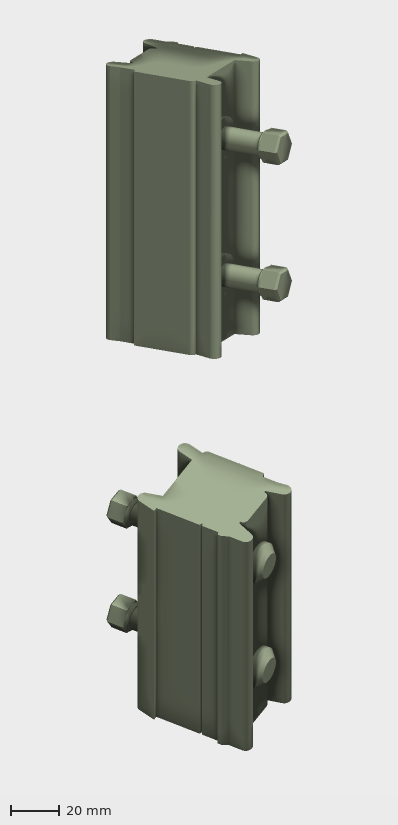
import cadquery as cq
import math

LENGTH = 120.0
WIDTH = 54.0
HALF_DEPTH = 20.0
LEFT_FACE_X = 7.0
RIGHT_FACE_X = 45.0

LOBE_RADIUS = 3.0
LOBE_Y = HALF_DEPTH - LOBE_RADIUS
RIGHT_LOBE_X = WIDTH - LOBE_RADIUS
LEFT_LOBE_X = LOBE_RADIUS
FRONT_LEFT_LOBE_Y = -15.6
RIGHT_ARM_ANGLE = 14.35
BACK_LEFT_ARM_ANGLE = 23.0
FRONT_LEFT_ARM_ANGLE = 13.5

NOTCH_X = 9.5
NOTCH_INNER_Y = 10.1
NOTCH_OUTER_Y = 11.0
FACE_EDGE_RADIUS = 2.3

LIP_X = 43.75
RIDGE_START_X = 9.2
RIDGE_TOP_START_X = 12.0
RIDGE_TOP_END_X = 13.8
RIDGE_END_X = 14.3
RIDGE_HEIGHT = 1.4
GROOVE_X = 22.6
GROOVE_WIDTH = 1.2
GROOVE_DEPTH = 1.6

PAD_START_X = 15.0
PAD_STEP_START_X = 14.6
PAD_END_X = 43.1
PAD_EDGE_RADIUS = 2.0
LEDGE_Y = -18.0
LEDGE_START_X = 7.6

BOLT_SPACING = 60.0
SHANK_DIAMETER = 10.0
COLLAR_DIAMETER = 18.0
COLLAR_THICKNESS = 2.0
BUTTON_TIP_X = 1.3
BUTTON_RIM_X = 4.5
BUTTON_TIP_DIAMETER = 11.2
HEAD_START_X = 66.8
HEAD_END_X = 74.98
HEAD_ACROSS_FLATS = 13.0
HEAD_CHAMFER = 0.8
HEAD_FACE_START_X = 65.2
HEAD_FACE_DIAMETER = 12.8
HEAD_FACE_CHAMFER = 0.8


def lobe_point(center_x, center_y, angle):
    """Point of a lobe's rim at an angle in degrees from +X."""
    turn = math.radians(angle)
    return (center_x + LOBE_RADIUS * math.cos(turn), center_y + LOBE_RADIUS * math.sin(turn))


def along(point, x, angle):
    """Point at x on the line through a point, sloping at an angle in degrees."""
    return (x, point[1] + (x - point[0]) * math.tan(math.radians(angle)))


def make_body():
    back_left_under = lobe_point(LEFT_LOBE_X, LOBE_Y, 270 - BACK_LEFT_ARM_ANGLE)
    front_left_over = lobe_point(LEFT_LOBE_X, FRONT_LEFT_LOBE_Y, 90 + FRONT_LEFT_ARM_ANGLE)
    front_right_under = lobe_point(RIGHT_LOBE_X, -LOBE_Y, 270 - RIGHT_ARM_ANGLE)
    front_right_over = lobe_point(RIGHT_LOBE_X, -LOBE_Y, 90 - RIGHT_ARM_ANGLE)
    back_right_under = lobe_point(RIGHT_LOBE_X, LOBE_Y, 270 + RIGHT_ARM_ANGLE)
    back_right_over = lobe_point(RIGHT_LOBE_X, LOBE_Y, 90 - RIGHT_ARM_ANGLE)

    face_edge_y = NOTCH_INNER_Y - FACE_EDGE_RADIUS
    face_edge_x = LEFT_FACE_X + FACE_EDGE_RADIUS
    diagonal = FACE_EDGE_RADIUS * math.sqrt(0.5)
    edge_mid_x = face_edge_x - diagonal
    edge_mid_y = face_edge_y + diagonal
    front_notch_start = along(front_left_over, face_edge_x, FRONT_LEFT_ARM_ANGLE)
    front_notch_mid_y = (front_notch_start[1] - NOTCH_INNER_Y) / 2
    pad_edge_x = PAD_END_X - PAD_EDGE_RADIUS
    pad_edge_y = -HALF_DEPTH + PAD_EDGE_RADIUS
    pad_diagonal = PAD_EDGE_RADIUS * math.sqrt(0.5)
    ridge_y = HALF_DEPTH + RIDGE_HEIGHT

    outline = (
        cq.Workplane("XY")
        .moveTo(LEFT_LOBE_X, HALF_DEPTH)
        .lineTo(RIDGE_START_X, HALF_DEPTH)
        .lineTo(RIDGE_TOP_START_X, ridge_y)
        .lineTo(RIDGE_TOP_END_X, ridge_y)
        .lineTo(RIDGE_END_X, HALF_DEPTH)
        .lineTo(GROOVE_X - GROOVE_WIDTH / 2, HALF_DEPTH)
        .lineTo(GROOVE_X, HALF_DEPTH - GROOVE_DEPTH)
        .lineTo(GROOVE_X + GROOVE_WIDTH / 2, HALF_DEPTH)
        .lineTo(LIP_X, HALF_DEPTH)
        .lineTo(*along(back_right_over, LIP_X, -RIGHT_ARM_ANGLE))
        .lineTo(*back_right_over)
        .threePointArc((WIDTH, LOBE_Y), back_right_under)
        .lineTo(*along(back_right_under, RIGHT_FACE_X, RIGHT_ARM_ANGLE))
        .lineTo(*along(front_right_over, RIGHT_FACE_X, -RIGHT_ARM_ANGLE))
        .lineTo(*front_right_over)
        .threePointArc((WIDTH, -LOBE_Y), front_right_under)
        .lineTo(*along(front_right_under, PAD_END_X, -RIGHT_ARM_ANGLE))
        .lineTo(PAD_END_X, pad_edge_y)
        .threePointArc(
            (pad_edge_x + pad_diagonal, pad_edge_y - pad_diagonal),
            (pad_edge_x, -HALF_DEPTH),
        )
        .lineTo(PAD_START_X, -HALF_DEPTH)
        .lineTo(PAD_STEP_START_X, LEDGE_Y)
        .lineTo(LEDGE_START_X, LEDGE_Y)
        .lineTo(LEFT_LOBE_X, FRONT_LEFT_LOBE_Y - LOBE_RADIUS)
        .threePointArc((0, FRONT_LEFT_LOBE_Y), front_left_over)
        .lineTo(*front_notch_start)
        .threePointArc((NOTCH_X, front_notch_mid_y), (face_edge_x, -NOTCH_INNER_Y))
        .threePointArc((edge_mid_x, -edge_mid_y), (LEFT_FACE_X, -face_edge_y))
        .lineTo(LEFT_FACE_X, face_edge_y)
        .threePointArc((edge_mid_x, edge_mid_y), (face_edge_x, NOTCH_INNER_Y))
        .lineTo(NOTCH_X, NOTCH_INNER_Y)
        .lineTo(NOTCH_X, NOTCH_OUTER_Y)
        .lineTo(*back_left_under)
        .threePointArc((0, LOBE_Y), (LEFT_LOBE_X, HALF_DEPTH))
        .close()
    )
    return outline.extrude(LENGTH)


def disc(start_x, end_x, diameter, z):
    """Cylinder along X, centred on a bolt axis."""
    plane = cq.Plane(origin=(start_x, 0, z), xDir=(0, 1, 0), normal=(1, 0, 0))
    return cq.Workplane(plane).circle(diameter / 2).extrude(end_x - start_x)


def make_button(z):
    """Conical bolt end, sunk into the body as far as the rounded edges of the left face."""
    profile = (
        cq.Workplane("XY")
        .moveTo(BUTTON_TIP_X, 0)
        .lineTo(BUTTON_TIP_X, BUTTON_TIP_DIAMETER / 2)
        .lineTo(BUTTON_RIM_X, COLLAR_DIAMETER / 2)
        .lineTo(LEFT_FACE_X + FACE_EDGE_RADIUS, COLLAR_DIAMETER / 2)
        .lineTo(LEFT_FACE_X + FACE_EDGE_RADIUS, 0)
        .close()
    )
    return profile.revolve(360, (0, 0, 0), (1, 0, 0)).translate((0, 0, z))


def make_head(z):
    """Hexagon head with a corner pointing along Y, and the round face under it."""
    across_corners = HEAD_ACROSS_FLATS / math.cos(math.pi / 6)
    plane = cq.Plane(origin=(HEAD_START_X, 0, z), xDir=(0, 1, 0), normal=(1, 0, 0))
    hexagon = cq.Workplane(plane).polygon(6, across_corners).extrude(HEAD_END_X - HEAD_START_X)
    hexagon = hexagon.faces(">X").chamfer(HEAD_CHAMFER)
    face = disc(HEAD_FACE_START_X, HEAD_START_X, HEAD_FACE_DIAMETER, z)
    return hexagon.union(face.faces("<X").chamfer(HEAD_FACE_CHAMFER))


result = make_body()
for bolt_z in (LENGTH / 2 - BOLT_SPACING / 2, LENGTH / 2 + BOLT_SPACING / 2):
    result = result.union(make_button(bolt_z))
    result = result.union(disc(RIGHT_FACE_X, RIGHT_FACE_X + COLLAR_THICKNESS, COLLAR_DIAMETER, bolt_z))
    result = result.union(disc(RIGHT_FACE_X, HEAD_FACE_START_X, SHANK_DIAMETER, bolt_z))
    result = result.union(make_head(bolt_z))